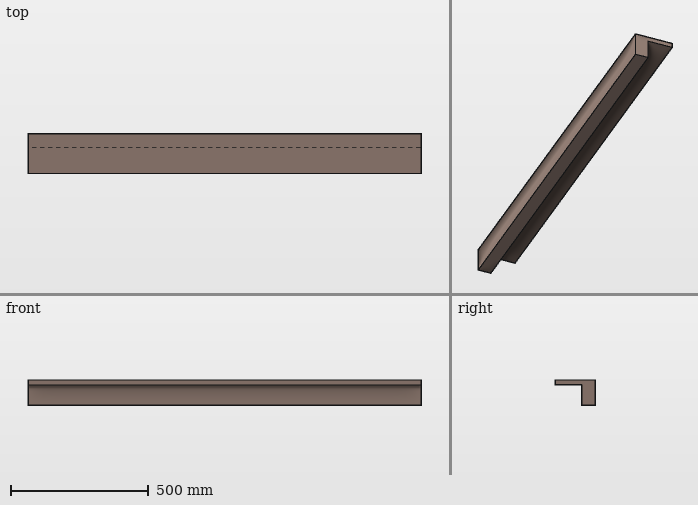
import cadquery as cq

length = 1425.0
flange_width = 145.0
height = 93.0
flange_thickness = 19.0
web_width = 50.0

flange = cq.Workplane("XY").box(length, flange_width, flange_thickness, centered=False)
flange = flange.translate((0, 0, height - flange_thickness))

web = cq.Workplane("XY").box(length, web_width, height, centered=False)
web = web.translate((0, flange_width - web_width, 0))

result = flange.union(web).clean()